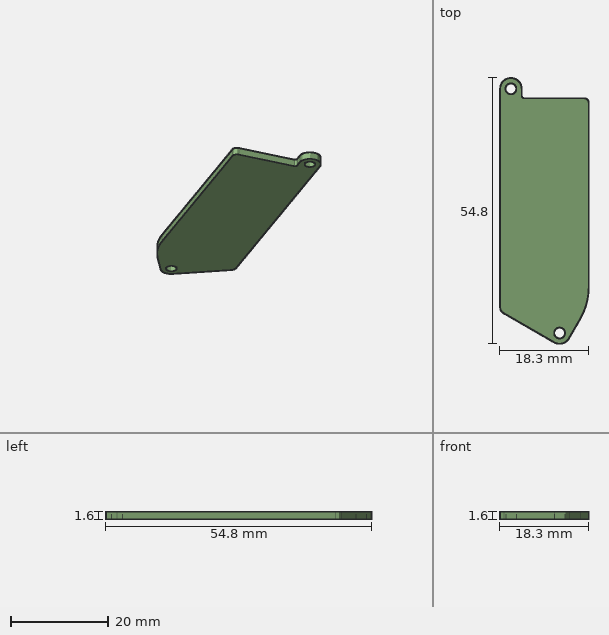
import cadquery as cq
import math

width = 18.3
length = 54.75
thickness = 1.6

hole_diameter = 2.2
end_radius = 2.25
upper_hole = (end_radius, length - end_radius)
lower_hole = (12.25, end_radius)

shoulder_y = length - 4.15
slope_angle = math.radians(30)
tab_inner_radius = 0.5
shoulder_radius = 1.0
left_corner_radius = 1.5
right_sweep_radius = 13.0


def slope_corners():
    """Sharp corners of the two lower edges, both tangent to the lower end round."""
    hole_x, hole_y = lower_hole
    sine = math.sin(slope_angle)
    cosine = math.cos(slope_angle)
    left_y = hole_y + (hole_x * sine - end_radius) / cosine
    right_y = hole_y + ((width - hole_x) * cosine - end_radius) / sine
    tip_x = hole_x + end_radius * (cosine - sine)
    tip_y = hole_y - end_radius * (cosine + sine)
    return (0, left_y), (tip_x, tip_y), (width, right_y)


def round_corner(body, corner, radius):
    """Round the vertical edge standing at the given outline corner."""
    x, y = corner
    edge = cq.selectors.NearestToPointSelector((x, y, thickness / 2))
    return body.edges("|Z").edges(edge).fillet(radius)


left_corner, tip_corner, right_corner = slope_corners()
tab_corner = (2 * end_radius, shoulder_y)
shoulder_corner = (width, shoulder_y)

plate = (
    cq.Workplane("XY")
    .moveTo(*left_corner)
    .lineTo(*tip_corner)
    .lineTo(*right_corner)
    .lineTo(*shoulder_corner)
    .lineTo(*tab_corner)
    .lineTo(2 * end_radius, upper_hole[1])
    .threePointArc((end_radius, length), (0, upper_hole[1]))
    .close()
    .extrude(thickness)
)

for corner, radius in (
    (left_corner, left_corner_radius),
    (tip_corner, end_radius),
    (right_corner, right_sweep_radius),
    (shoulder_corner, shoulder_radius),
    (tab_corner, tab_inner_radius),
):
    plate = round_corner(plate, corner, radius)

holes = (
    cq.Workplane("XY")
    .pushPoints([upper_hole, lower_hole])
    .circle(hole_diameter / 2)
    .extrude(thickness)
)

result = plate.cut(holes)